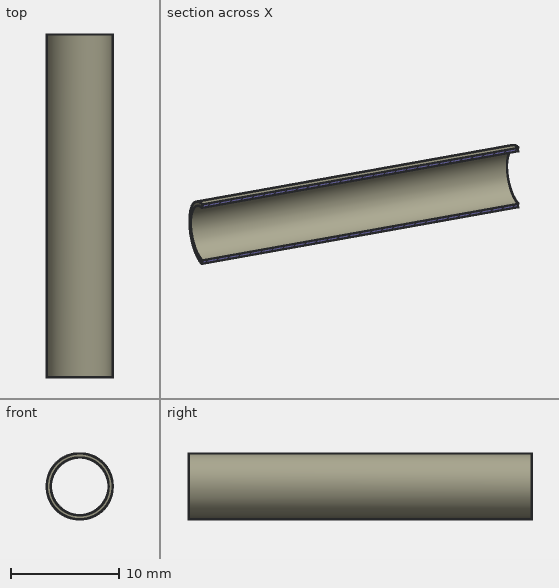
import cadquery as cq

length = 31.75
outer_diameter = 6.13
wall_thickness = 0.4
inner_diameter = outer_diameter - 2 * wall_thickness


def make_tube():
    """Extrude the ring-shaped end face along Y for the full length of the tube."""
    end_face = cq.Workplane("XZ", origin=(0, length / 2, 0))
    ring = end_face.circle(outer_diameter / 2).circle(inner_diameter / 2)
    return ring.extrude(length)


result = make_tube()